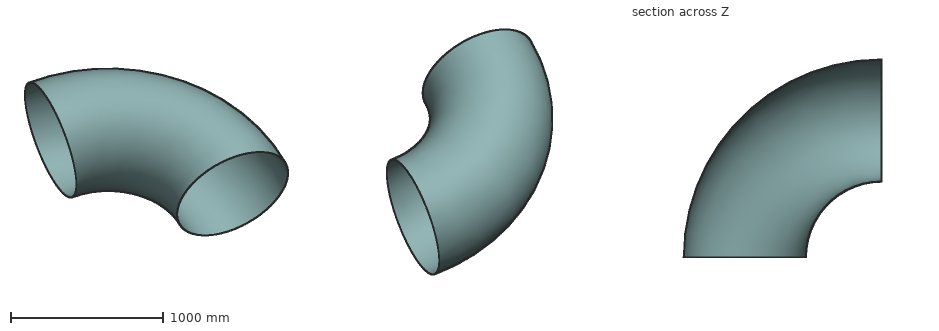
import cadquery as cq

outer_diameter = 808.0
wall_thickness = 4.0
bend_radius = 900.0
bend_angle = 90.0

outer_radius = outer_diameter / 2
inner_radius = outer_radius - wall_thickness


def make_elbow():
    """Revolve the pipe ring from the open -Y end about the vertical bend axis."""
    ring = cq.Workplane("XZ").circle(outer_radius).circle(inner_radius)
    axis_start = (bend_radius, 0)
    axis_end = (bend_radius, -1)
    return ring.revolve(bend_angle, axis_start, axis_end)


result = make_elbow()